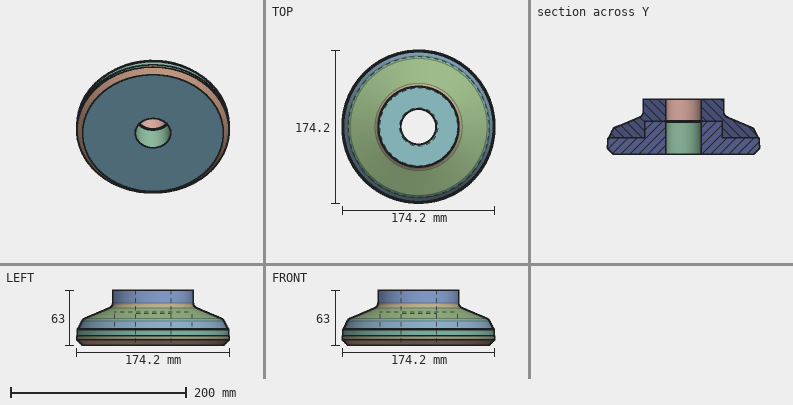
import cadquery as cq

total_height = 63.0
joint_z = 19.0
boss_top_z = 38.3
band_bottom_z = 10.8
rim_bottom_z = 6.3
rim_mid_z = (band_bottom_z + rim_bottom_z) / 2

rim_dia = 174.2
band_dia = 173.0
foot_dia = 160.3
boss_dia = 88.5
base_bore_dia = 40.2
boss_bore_chamfer = 1.7
band_chamfer = 1.0

cap_bottom_dia = 170.7
shoulder_dia = 159.8
shoulder_z = 30.0
neck_dia = 92.0
neck_z = 44.3
cap_bore_dia = 40.0
shoulder_fillet = 5.5
neck_fillet = 6.1
neck_top_chamfer = 0.5


def revolve(outline):
    """Turn a closed outline in the XZ plane once around the Z axis."""
    return outline.close().revolve(360, (0, 0, 0), (0, 1, 0))


def circle_at(diameter, z):
    """Select the circular edge of a given diameter that lies at height z."""
    radius = diameter / 2
    tolerance = 0.02
    corner = radius + tolerance
    hollow = radius - tolerance
    outer = cq.selectors.BoxSelector(
        (-corner, -corner, z - tolerance), (corner, corner, z + tolerance), boundingbox=True
    )
    inner = cq.selectors.BoxSelector(
        (-hollow, -hollow, z - tolerance), (hollow, hollow, z + tolerance), boundingbox=True
    )
    return outer - inner


def make_base():
    """Chamfered band over a rounded rim, with a bored boss that centres the cap."""
    outline = (
        cq.Workplane("XZ")
        .moveTo(base_bore_dia / 2, 0)
        .lineTo(foot_dia / 2, 0)
        .lineTo(band_dia / 2, rim_bottom_z)
        .threePointArc((rim_dia / 2, rim_mid_z), (band_dia / 2, band_bottom_z))
        .lineTo(band_dia / 2, joint_z)
        .lineTo(boss_dia / 2, joint_z)
        .lineTo(boss_dia / 2, boss_top_z)
        .lineTo(base_bore_dia / 2, boss_top_z)
    )
    body = revolve(outline)
    body = body.edges(circle_at(band_dia, joint_z)).chamfer(band_chamfer)
    return body.edges(circle_at(base_bore_dia, boss_top_z)).chamfer(boss_bore_chamfer)


def make_cap():
    """Two stacked cones and a bored neck, recessed underneath for the boss."""
    outline = (
        cq.Workplane("XZ")
        .moveTo(boss_dia / 2, joint_z)
        .lineTo(cap_bottom_dia / 2, joint_z)
        .lineTo(shoulder_dia / 2, shoulder_z)
        .lineTo(neck_dia / 2, neck_z)
        .lineTo(neck_dia / 2, total_height)
        .lineTo(cap_bore_dia / 2, total_height)
        .lineTo(cap_bore_dia / 2, boss_top_z)
        .lineTo(boss_dia / 2, boss_top_z)
    )
    body = revolve(outline)
    body = body.edges(circle_at(shoulder_dia, shoulder_z)).fillet(shoulder_fillet)
    body = body.edges(circle_at(neck_dia, neck_z)).fillet(neck_fillet)
    return body.edges(circle_at(neck_dia, total_height)).chamfer(neck_top_chamfer)


base = make_base()
cap = make_cap()

result = cq.Compound.makeCompound([base.val(), cap.val()])